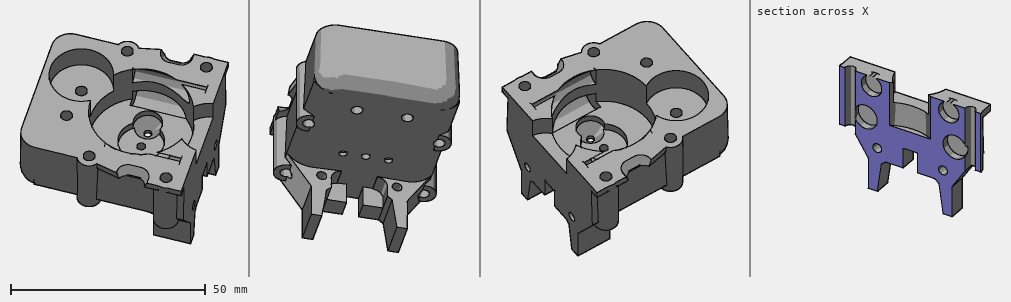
import cadquery as cq
import math


left_x = -28.0
right_x = 17.0
top_half_width = 18.65
draft_angle = 2.0
body_depth = 19.05
middle_depth = 18.7
corner_radius = 5.0
left_edge_radius = 5.0
side_edge_top = 15.52
side_edge_radius = 8.1

boss_depth = 18.0
front_boss = (-8.8, 17.25, 3.15)
rear_boss = (12.05, 18.2, 3.25)
screw_hole_diameter = 3.0
flange_thickness = 2.0
flange_half_width = 21.25
flange_start_x = -6.2
flange_rear_x = 7.45
wedge_start_y = 19.05
wedge_end_y = 20.45

notch_center_x = 3.6
notch_center_spacing = 2.5
notch_top_diameter = 6.0
notch_bottom_diameter = 4.5
notch_top_y = 19.9
notch_bottom_y = 21.3

bore_diameter = 27.0
bore_depth = 13.0
recess_diameter = 12.0
recess_depth = 2.35
side_pocket = (-18.0, 6.65)
side_pocket_diameter = 16.55
side_pocket_depth = 7.0
rear_opening_x = 18.15
rear_opening_diameter = 15.5
rear_opening_depth = 6.0
center_hole_diameter = 2.2
cone_offset_y = 6.0
cone_diameter = 7.55
cone_hole_diameter = 2.02
cone_depth = 2.75
counterbore_depth = 2.0

cavity_start_x = -6.0
cavity_end_x = 14.05
upper_cavity = (11.7, 2.95, 3.0)
lower_cavity = (13.5, 13.0, 3.45)

leg_length = 10.0
leg_top = 15.5
leg_bottom = 34.6
leg_outer_y = 12.7
leg_tip_inner_y = 9.9
leg_root_inner_y = 8.65
leg_slope_end = 25.4
leg_taper_start = 25.8
pad_depth = 24.8
pad_inner_y = 2.15
pad_outer_y = 7.42
pad_length = 5.0
pad_corner_radius = 2.7
leg_hole_diameter = 2.5
leg_hole_y = 9.95
leg_hole_depth = 21.35


def both_sides(shape):
    """Join a shape with its mirror image across y = 0."""
    return shape.union(shape.mirror("XZ"))


def vertical_cylinder(x, y, diameter, depth):
    return cq.Workplane("XY").center(x, y).circle(diameter / 2).extrude(-depth)


def cylinder_along_x(y, depth, radius, start_x, end_x):
    return (
        cq.Workplane("YZ", origin=(start_x, 0, 0))
        .center(y, -depth).circle(radius).extrude(end_x - start_x)
    )


def half_width(depth):
    return top_half_width + depth * math.tan(math.radians(draft_angle))


def flat_bottom_y():
    """Distance from the middle at which the rounded lower side edge meets the bottom."""
    edge_height = body_depth - side_edge_top
    reach = math.sqrt(side_edge_radius**2 - (side_edge_radius - edge_height)**2)
    return half_width(side_edge_top) - reach


def side_section():
    """Cross-section normal to X: drafted sides, rounded lower edges, bottom rising to the middle."""
    edge_y = half_width(side_edge_top)
    flat_y = flat_bottom_y()
    mid_y = (edge_y + flat_y) / 2
    mid_z = side_edge_radius - body_depth - math.sqrt(side_edge_radius**2 - (mid_y - flat_y)**2)
    return (
        cq.Workplane("YZ", origin=(left_x, 0, 0))
        .moveTo(-top_half_width, 0).lineTo(top_half_width, 0).lineTo(edge_y, -side_edge_top)
        .threePointArc((mid_y, mid_z), (flat_y, -body_depth))
        .lineTo(0, -middle_depth).lineTo(-flat_y, -body_depth)
        .threePointArc((-mid_y, mid_z), (-edge_y, -side_edge_top))
        .close().extrude(right_x - left_x)
    )


def drafted_block():
    """Block with drafted sides and rounded upright corners at the left end."""
    bottom_half_width = half_width(body_depth)
    block = (
        cq.Workplane("YZ", origin=(left_x, 0, 0))
        .moveTo(-top_half_width, 0).lineTo(top_half_width, 0)
        .lineTo(bottom_half_width, -body_depth).lineTo(-bottom_half_width, -body_depth)
        .close().extrude(right_x - left_x)
    )
    return block.edges("<X and (not |Y)").fillet(corner_radius)


def body():
    shell = drafted_block().intersect(side_section())
    nose = shell.edges(cq.selectors.BoxSelector(
        (left_x - corner_radius, -flat_bottom_y(), -leg_bottom),
        (left_x + corner_radius, flat_bottom_y(), -side_edge_top),
    )).fillet(left_edge_radius)
    rear_start_x = left_x + corner_radius
    rear_space = (
        cq.Workplane("XY", origin=(rear_start_x, 0, -body_depth))
        .box(right_x - rear_start_x, 2 * flange_half_width, body_depth, centered=(False, True, False))
    )
    return nose.union(shell.intersect(rear_space))


def flange():
    plate = (
        cq.Workplane("XY")
        .polyline([
            (flange_start_x, 0), (flange_start_x, wedge_start_y), (0, wedge_end_y),
            (flange_rear_x, flange_half_width), (right_x, flange_half_width), (right_x, 0),
        ])
        .close().extrude(-flange_thickness)
    )
    return both_sides(plate)


def bosses():
    shapes = cq.Workplane("XY")
    for x, y, radius in (front_boss, rear_boss):
        shapes = shapes.union(vertical_cylinder(x, y, 2 * radius, boss_depth))
    return both_sides(shapes)


def legs():
    plate = (
        cq.Workplane("YZ", origin=(right_x - leg_length, 0, 0))
        .moveTo(half_width(leg_top), -leg_top)
        .lineTo(leg_outer_y, -leg_slope_end).lineTo(leg_outer_y, -leg_bottom)
        .lineTo(leg_tip_inner_y, -leg_bottom).lineTo(leg_root_inner_y, -leg_taper_start)
        .lineTo(pad_outer_y, -pad_depth)
        .lineTo(pad_outer_y, -body_depth - pad_corner_radius)
        .radiusArc((pad_outer_y - pad_corner_radius, -body_depth), -pad_corner_radius)
        .lineTo(pad_outer_y - pad_corner_radius, -leg_top)
        .close().extrude(leg_length)
    )
    pad = (
        cq.Workplane("YZ", origin=(right_x - pad_length, 0, 0))
        .moveTo(pad_inner_y, -side_edge_top).lineTo(leg_root_inner_y, -side_edge_top)
        .lineTo(leg_root_inner_y, -pad_depth).lineTo(pad_inner_y, -pad_depth)
        .close().extrude(pad_length)
    )
    hole = cylinder_along_x(leg_hole_y, leg_hole_depth, leg_hole_diameter / 2, right_x - leg_length, right_x)
    return both_sides(plate.union(pad).cut(hole))


def notch_outline(plane, y, diameter):
    """Flat inner edge between two quarter arcs, with straight sides running outward."""
    radius = diameter / 2
    left_x_center = notch_center_x - notch_center_spacing / 2
    right_x_center = notch_center_x + notch_center_spacing / 2
    outer_y = flange_half_width + notch_top_diameter
    return (
        plane.moveTo(left_x_center - radius, outer_y).lineTo(left_x_center - radius, y)
        .radiusArc((left_x_center, y - radius), -radius)
        .lineTo(right_x_center, y - radius)
        .radiusArc((right_x_center + radius, y), -radius)
        .lineTo(right_x_center + radius, outer_y).close()
    )


def notches():
    top = notch_outline(cq.Workplane("XY"), notch_top_y, notch_top_diameter)
    bottom = notch_outline(top.workplane(offset=-flange_thickness), notch_bottom_y, notch_bottom_diameter)
    return both_sides(bottom.loft(ruled=True))


def pockets():
    shapes = vertical_cylinder(0, 0, bore_diameter, bore_depth)
    shapes = shapes.union(vertical_cylinder(0, 0, recess_diameter, bore_depth + recess_depth))
    shapes = shapes.union(vertical_cylinder(*side_pocket, side_pocket_diameter, side_pocket_depth))
    return shapes.union(vertical_cylinder(rear_opening_x, 0, rear_opening_diameter, rear_opening_depth))


def cavities():
    shapes = cq.Workplane("XY")
    for y, depth, radius in (upper_cavity, lower_cavity):
        shapes = shapes.union(cylinder_along_x(y, depth, radius, cavity_start_x, cavity_end_x))
    return both_sides(shapes)


def countersinks():
    """Counterbores with a conical bottom, each opening into a small through hole."""
    cone_top = bore_depth + counterbore_depth
    cone = cq.Workplane(cq.Solid.makeCone(
        cone_hole_diameter / 2, cone_diameter / 2, cone_depth,
        pnt=cq.Vector(0, cone_offset_y, -cone_top - cone_depth),
    ))
    counterbore = vertical_cylinder(0, cone_offset_y, cone_diameter, cone_top)
    hole = vertical_cylinder(0, cone_offset_y, cone_hole_diameter, body_depth)
    return both_sides(cone.union(counterbore).union(hole))


def holes():
    side_x, side_y = side_pocket
    places = [(side_x, side_y), (side_x, -side_y)]
    for x, y, _ in (front_boss, rear_boss):
        places += [(x, y), (x, -y)]
    screws = (
        cq.Workplane("XY").pushPoints(places)
        .circle(screw_hole_diameter / 2).extrude(-leg_bottom)
    )
    return screws.union(vertical_cylinder(0, 0, center_hole_diameter, body_depth))


result = body().union(flange()).cut(notches()).union(bosses()).union(legs())
result = result.cut(pockets()).cut(cavities()).cut(countersinks()).cut(holes())